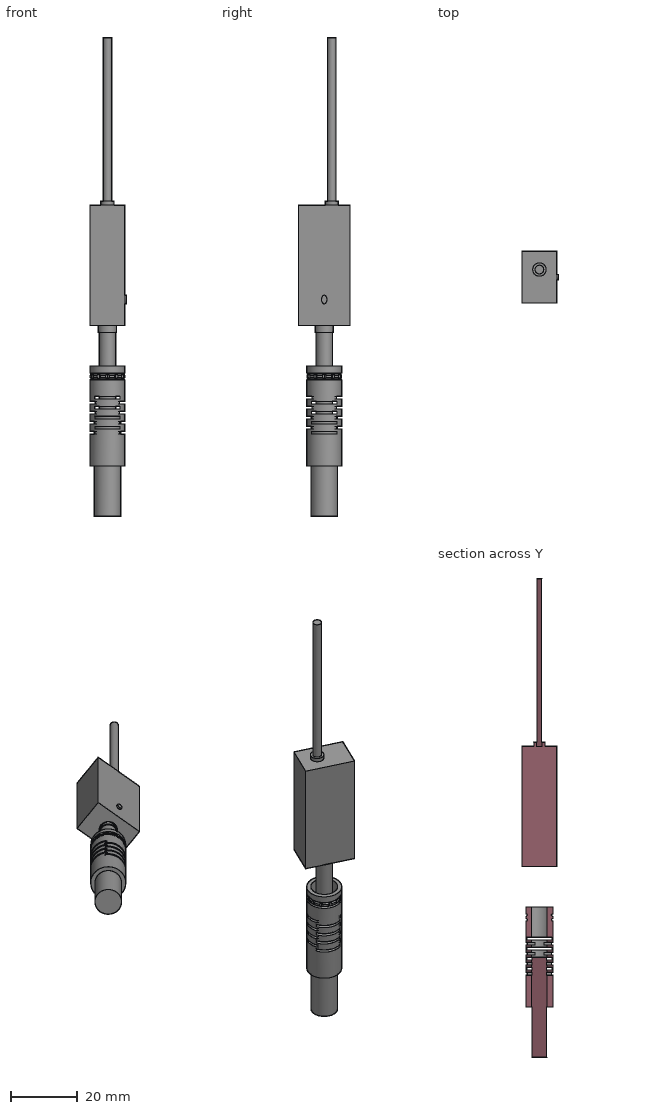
import cadquery as cq

tip_length = 15.0
sleeve_length = 30.0
neck_length = 12.0
housing_height = 36.0
upper_cable_length = 50.0

sleeve_bottom = tip_length
sleeve_top = sleeve_bottom + sleeve_length
housing_bottom = sleeve_top + neck_length
housing_top = housing_bottom + housing_height

housing_width = 10.5
housing_depth = 15.5
upper_collar_diameter = 4.0
upper_collar_height = 1.2
lower_collar_diameter = 5.5
lower_collar_height = 2.0
button_width = 1.6
button_height = 2.6
button_protrusion = 0.5
button_center_above_bottom = 7.8

upper_cable_diameter = 2.6
upper_cable_offset = 2.25
lower_cable_diameter = 5.0

plug_diameter = 8.0
plug_depth_in_sleeve = sleeve_length / 2
plug_top = sleeve_bottom + plug_depth_in_sleeve
sleeve_diameter = 10.5
sleeve_radius = sleeve_diameter / 2

slot_width = 7.5
slot_height = 0.75
slot_pairs = 4
slot_pitch = 3.0
first_slot_depth = 9.5

groove_height = 0.75
groove_depth = 0.4
band_depth = 2.1
band_rib_height = 0.65
band_height = 2 * groove_height + band_rib_height
band_top = sleeve_top - band_depth
band_bottom = band_top - band_height
notch_count = 12
notch_width = 1.2


def rod(diameter, bottom, top, y=0.0):
    """Upright cylinder between two heights."""
    return cq.Workplane("XY", origin=(0, y, bottom)).circle(diameter / 2).extrude(top - bottom)


def make_housing():
    body = (
        cq.Workplane("XY", origin=(0, 0, housing_bottom))
        .rect(housing_width, housing_depth)
        .extrude(housing_height)
    )
    upper_collar_top = housing_top + upper_collar_height
    lower_collar_bottom = housing_bottom - lower_collar_height
    upper_collar = rod(upper_collar_diameter, housing_top, upper_collar_top, upper_cable_offset)
    lower_collar = rod(lower_collar_diameter, lower_collar_bottom, housing_bottom)
    button = (
        cq.Workplane("YZ", origin=(housing_width / 2, 0, housing_bottom + button_center_above_bottom))
        .ellipse(button_width / 2, button_height / 2)
        .extrude(button_protrusion)
    )
    upper_cable_hole = rod(upper_cable_diameter, housing_top, upper_collar_top, upper_cable_offset)
    lower_cable_hole = rod(lower_cable_diameter, lower_collar_bottom, housing_bottom)
    housing = body.union(upper_collar).union(lower_collar).union(button)
    return housing.cut(upper_cable_hole).cut(lower_cable_hole)


def make_knurl_cutter():
    root_radius = sleeve_radius - groove_depth
    lower_groove_z = band_bottom + groove_height / 2
    upper_groove_z = band_top - groove_height / 2
    cutter = cq.Workplane("XY")
    for z in (lower_groove_z, upper_groove_z):
        ring = (
            cq.Workplane("XZ")
            .polyline(
                [
                    (sleeve_radius, z - groove_height / 2),
                    (root_radius, z),
                    (sleeve_radius, z + groove_height / 2),
                ]
            )
            .close()
            .revolve(360, (0, 0, 0), (0, 1, 0))
        )
        cutter = cutter.add(ring)
    notch = (
        cq.Workplane("XY", origin=(0, 0, lower_groove_z))
        .polyline([(root_radius, 0), (sleeve_radius, notch_width / 2), (sleeve_radius, -notch_width / 2)])
        .close()
        .extrude(upper_groove_z - lower_groove_z)
    )
    for i in range(notch_count):
        cutter = cutter.add(notch.rotate((0, 0, 0), (0, 0, 1), i * 360 / notch_count))
    return cutter.combine()


def make_sleeve():
    bore = rod(plug_diameter, sleeve_bottom, sleeve_top)
    sleeve = rod(sleeve_diameter, sleeve_bottom, sleeve_top).cut(bore)
    slot_length = 2 * sleeve_diameter
    slot_along_y = cq.Workplane("XY").box(slot_width, slot_length, slot_height)
    slot_along_x = cq.Workplane("XY").box(slot_length, slot_width, slot_height)
    for pair in range(slot_pairs):
        z = sleeve_top - first_slot_depth - pair * slot_pitch
        sleeve = sleeve.cut(slot_along_y.translate((0, 0, z)))
        sleeve = sleeve.cut(slot_along_x.translate((0, 0, z - slot_pitch / 2)))
    return sleeve.cut(make_knurl_cutter())


housing = make_housing()
upper_cable = rod(upper_cable_diameter, housing_top, housing_top + upper_cable_length, upper_cable_offset)
lower_cable = rod(lower_cable_diameter, plug_top, housing_bottom)
sleeve = make_sleeve()
plug = rod(plug_diameter, 0, plug_top)

result = cq.Compound.makeCompound(
    [housing.val(), upper_cable.val(), lower_cable.val(), sleeve.val(), plug.val()]
)